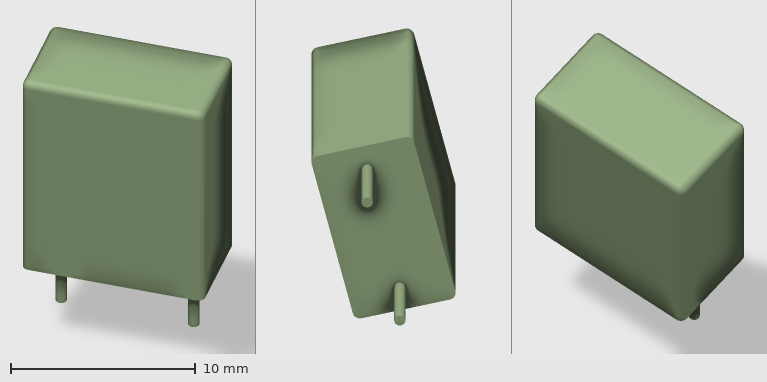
import cadquery as cq

total_height = 16.3
case_length = 10.3
case_width = 5.7
edge_radius = 0.4

lead_length = 3.8
lead_diameter = 0.6
lead_pitch = 7.5

case_height = total_height - lead_length


def make_case():
    """Box standing on Z = 0, rounded on every edge except around its flat base."""
    block = cq.Workplane("XY").box(case_length, case_width, case_height, centered=(True, True, False))
    return block.edges("|Z or >Z").fillet(edge_radius)


def make_lead(x):
    """Round straight lead hanging from the underside of the case."""
    return cq.Workplane("XY").center(x, 0).circle(lead_diameter / 2).extrude(-lead_length)


case = make_case()
leads = [make_lead(side * lead_pitch / 2) for side in (-1, 1)]

result = cq.Compound.makeCompound([case.val(), *[lead.val() for lead in leads]])